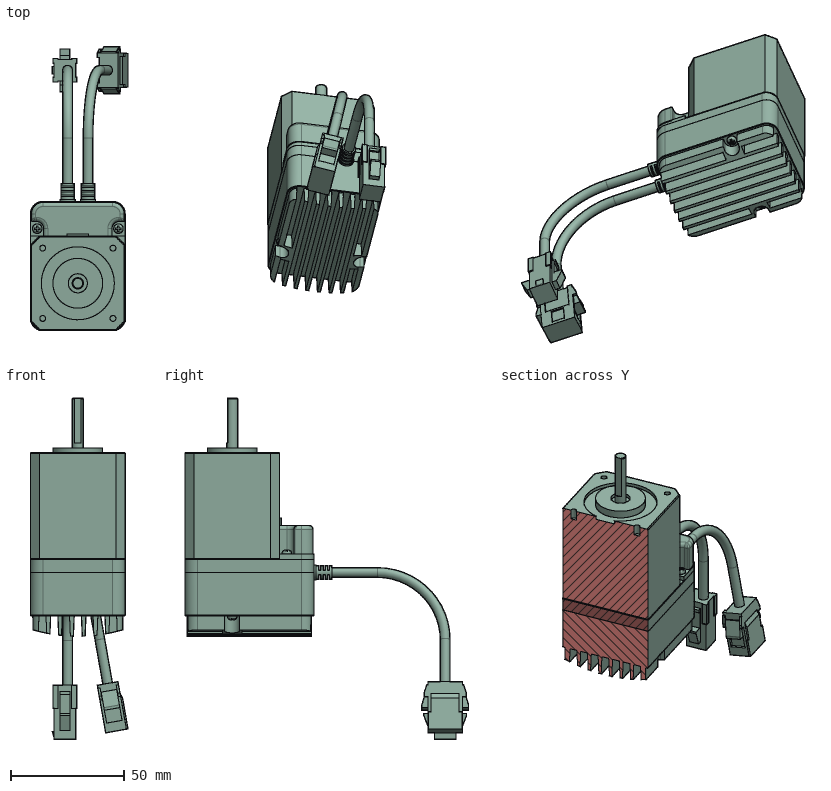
import cadquery as cq

MOTOR_WIDTH = 42.0
MOTOR_CORNER = 4.1
MOTOR_BOTTOM = 25.4
MOTOR_TOP = 72.3
TOP_EDGE = 0.5
PILOT_DIAMETER = 22.0
PILOT_HEIGHT = 2.0
RING_DIAMETER = 32.3
RING_DEPTH = 1.5
BORE_DIAMETER = 8.5
BORE_DEPTH = 1.5
MOUNT_SPACING = 31.1
MOUNT_HOLE = 2.5
MOUNT_DEPTH = 4.5

SHAFT_DIAMETER = 5.0
SHAFT_TOP = 96.3
SHAFT_CHAMFER = 0.3
FLAT_DEPTH = 0.5
FLAT_BOTTOM = 76.5

FRONT_Y = -MOTOR_WIDTH / 2
BACK_Y = 36.2
CASE_RADIUS = 5.6
SPLIT_Z = 19.2
LID_BOTTOM = 24.9
CASE_EDGE = 0.3

MOTOR_BACK_Y = MOTOR_WIDTH / 2
SHELF_Z = 27.3
BOX_TOP = 40.0
BOX_INSET = 0.5
BOX_ROUND = 1.8
NICHE_EDGE = 0.5
NICHE_RADIUS = 3.2
NICHE_X = 18.3
SCREW_Y = 24.2
TAB_WIDTH = 9.4
TAB_THICKNESS = 0.8
TAB_TOP = 43.3

SCREW_X = 18.0
SCREW_DIAMETER = 4.2
SCREW_HEIGHT = 1.8
SCREW_ROUND = 1.5
CROSS_LENGTH = 2.4
CROSS_WIDTH = 0.6
CROSS_DEPTH = 0.9

FIN_INSET = 1.0
FIN_COUNT = 8
FIN_PITCH = 5.21
FIN_ROOT = 2.1
FIN_TIP = 1.4
FIN_DEPTH_MIDDLE = 9.0
FIN_DEPTH_SIDE = 6.2
NOTCH_RADIUS = 3.3
BOSS_WIDTH = 8.8

CABLE_X = 4.5
CABLE_DIAMETER = 4.4
BEND_Y = 64.2
BEND_RADIUS = 30.0
CABLE_DROP = 19.8
SLEEVE_DIAMETER = 6.0
SLEEVE_LENGTH = 7.9
FLANGE_DIAMETER = 6.8
FLANGE_THICKNESS = 0.9
SLIT_COUNT = 3
SLIT_WIDTH = 0.8
SLIT_PITCH = 2.0
FIRST_SLIT = 2.1
SLIT_FLOOR = 1.0

SMALL_WIDTH = 9.7
SMALL_LENGTH = 24.0
SMALL_OFFSET = -1.2
SMALL_PAD = 0.5
SMALL_PAD_WIDTH = 2.3
SMALL_PAD_LENGTH = 10.3
SMALL_LATCH_WIDTH = 4.4
SMALL_LATCH = [(0, 2.9), (1.7, 2.9), (1.7, 4.2), (0.9, 4.2), (0.9, 12.5), (4.7, 12.5), (4.7, 13.5), (2.1, 20.1), (0, 20.1)]
NUB_WIDTH = 3.5
NUB_REACH = 0.8
NUB_TOP = 20.5
NUB_BOTTOM = 23.1

LARGE_TILT = 10.0
LARGE_WIDTH = 9.4
LARGE_DEPTH = 15.4
LARGE_LENGTH = 21.5
LARGE_RECESS = 0.9
LARGE_STEP = 12.1
LARGE_PAD_WIDTH = 2.1
WINDOW_WIDTH = 5.7
WINDOW_HEIGHT = 6.8
WINDOW_DEPTH = 0.6
WINDOW_TOP = 13.0
LARGE_LATCH_WIDTH = 7.0
LARGE_LATCH = [(0, 3.3), (0.6, 3.3), (2.7, 10.3), (2.7, 11.5), (0, 11.5)]
GUARD_WIDTH = 1.0
GUARD = [(0, 1.4), (0.5, 1.4), (1.7, 5.0), (1.7, 6.6), (0, 6.6)]
POCKET_TOP = 11.5
POCKET_BOTTOM = 17.2
POCKET_DEPTH = 1.2
HUMP_DEPTH = 12.4
HUMP_TOP = 5.3
HUMP_SHOULDER = 7.5
PANEL_DEPTH = 15.0
PANEL_TOP = 13.6
PANEL_THICKNESS = 0.8


def box(x0, x1, y0, y1, z0, z1):
    """Axis-aligned block between opposite corners."""
    return cq.Workplane("XY").box(x1 - x0, y1 - y0, z1 - z0, centered=False).translate((x0, y0, z0))


def case_block(bottom, top, inset=0.0):
    """Rounded rectangular block that follows the case outline."""
    half = MOTOR_WIDTH / 2 - inset
    block = box(-half, half, FRONT_Y + inset, BACK_Y - inset, bottom, top)
    return block.edges("|Z").fillet(CASE_RADIUS - inset)


def screw_head():
    """Domed head with a cross recess, standing up from Z = 0."""
    radius = SCREW_DIAMETER / 2
    head = cq.Workplane("XY").circle(radius).extrude(SCREW_HEIGHT).faces(">Z").edges().fillet(SCREW_ROUND)
    floor = SCREW_HEIGHT - CROSS_DEPTH
    half_length = CROSS_LENGTH / 2
    half_width = CROSS_WIDTH / 2
    head = head.cut(box(-half_length, half_length, -half_width, half_width, floor, SCREW_HEIGHT))
    return head.cut(box(-half_width, half_width, -half_length, half_length, floor, SCREW_HEIGHT))


def make_shaft():
    radius = SHAFT_DIAMETER / 2
    bottom = MOTOR_TOP + PILOT_HEIGHT - BORE_DEPTH
    shaft = cq.Workplane("XY").workplane(offset=bottom).circle(radius).extrude(SHAFT_TOP - bottom)
    shaft = shaft.faces(">Z").edges().chamfer(SHAFT_CHAMFER)
    return shaft.cut(box(-radius, radius, -radius, FLAT_DEPTH - radius, FLAT_BOTTOM, SHAFT_TOP))


def make_motor():
    height = MOTOR_TOP - MOTOR_BOTTOM
    motor = cq.Workplane("XY").workplane(offset=MOTOR_BOTTOM).rect(MOTOR_WIDTH, MOTOR_WIDTH).extrude(height)
    motor = motor.edges("|Z").chamfer(MOTOR_CORNER).faces(">Z").edges().chamfer(TOP_EDGE)

    face = cq.Workplane("XY").workplane(offset=MOTOR_TOP)
    ring = face.circle(RING_DIAMETER / 2).circle(PILOT_DIAMETER / 2).extrude(-RING_DEPTH)
    pilot = face.circle(PILOT_DIAMETER / 2).extrude(PILOT_HEIGHT)
    mounts = face.rect(MOUNT_SPACING, MOUNT_SPACING, forConstruction=True).vertices()
    mounts = mounts.circle(MOUNT_HOLE / 2).extrude(-MOUNT_DEPTH)
    motor = motor.cut(ring).union(pilot).cut(mounts)
    motor = motor.faces(">Z").workplane(origin=(0, 0, 0)).hole(BORE_DIAMETER, BORE_DEPTH)
    return motor.union(make_shaft())


def make_terminal_box():
    """Box behind the motor, with a quarter-round niche around each screw."""
    terminal = case_block(SHELF_Z, BOX_TOP, BOX_INSET)
    terminal = terminal.cut(box(-MOTOR_WIDTH, MOTOR_WIDTH, FRONT_Y, MOTOR_BACK_Y, SHELF_Z, BOX_TOP))
    wall_x = NICHE_X - NICHE_RADIUS
    for side in (-1, 1):
        niche = (
            cq.Workplane("XY")
            .workplane(offset=SHELF_Z)
            .moveTo(side * wall_x, MOTOR_BACK_Y)
            .lineTo(side * wall_x, SCREW_Y)
            .radiusArc((side * NICHE_X, SCREW_Y + NICHE_RADIUS), side * NICHE_RADIUS)
            .lineTo(side * MOTOR_WIDTH, SCREW_Y + NICHE_RADIUS)
            .lineTo(side * MOTOR_WIDTH, MOTOR_BACK_Y)
            .close()
            .extrude(BOX_TOP - SHELF_Z)
        )
        terminal = terminal.cut(niche)
    outer = MOTOR_WIDTH / 2 - BOX_INSET
    for side in (-1, 1):
        corner = cq.selectors.NearestToPointSelector((side * outer, SCREW_Y + NICHE_RADIUS, (SHELF_Z + BOX_TOP) / 2))
        terminal = terminal.edges(corner).fillet(NICHE_EDGE)
    return terminal.faces(">Z").edges("not <Y").fillet(BOX_ROUND)


def make_lid():
    """Plate under the motor, rising behind it to a shelf that carries the terminal box."""
    lid = case_block(LID_BOTTOM, SHELF_Z)
    lid = lid.cut(box(-MOTOR_WIDTH, MOTOR_WIDTH, FRONT_Y, MOTOR_BACK_Y, MOTOR_BOTTOM, SHELF_Z))
    lid = lid.union(make_terminal_box())
    tab_back = MOTOR_BACK_Y + TAB_THICKNESS
    lid = lid.union(box(-TAB_WIDTH / 2, TAB_WIDTH / 2, MOTOR_BACK_Y, tab_back, SHELF_Z, TAB_TOP))
    for side in (-1, 1):
        lid = lid.union(screw_head().translate((side * SCREW_X, SCREW_Y, SHELF_Z)))
    return lid


def make_frame():
    return case_block(SPLIT_Z, LID_BOTTOM)


def make_fins():
    """Row of tapered fins along Y whose tips follow one shallow arc."""
    half = MOTOR_WIDTH / 2 - FIN_INSET
    length = BACK_Y - FRONT_Y
    envelope = (
        cq.Workplane("XZ", origin=(0, FRONT_Y, 0))
        .moveTo(-half, 0)
        .lineTo(-half, -FIN_DEPTH_SIDE)
        .threePointArc((0, -FIN_DEPTH_MIDDLE), (half, -FIN_DEPTH_SIDE))
        .lineTo(half, 0)
        .close()
        .extrude(-length)
        .intersect(case_block(-FIN_DEPTH_MIDDLE, 0, FIN_INSET))
    )
    slots = cq.Workplane("XY")
    for i in range(FIN_COUNT - 1):
        middle = (i - FIN_COUNT / 2 + 1) * FIN_PITCH
        root = (FIN_PITCH - FIN_ROOT) / 2
        tip = (FIN_PITCH - FIN_TIP) / 2
        slot = (
            cq.Workplane("XZ", origin=(middle, FRONT_Y, 0))
            .polyline([(-root, 0), (root, 0), (tip, -FIN_DEPTH_MIDDLE), (-tip, -FIN_DEPTH_MIDDLE)])
            .close()
            .extrude(-length)
        )
        slots = slots.add(slot)
    fins = envelope
    for slot in slots.vals():
        fins = fins.cut(cq.Workplane(slot))

    boss_inner = half - FIN_PITCH - NOTCH_RADIUS / 2
    for side in (-1, 1):
        x0, x1 = sorted((side * boss_inner, side * half))
        boss = box(x0, x1, -BOSS_WIDTH / 2, BOSS_WIDTH / 2, -FIN_DEPTH_MIDDLE, 0)
        fins = fins.union(boss.intersect(envelope))
    return fins


def make_base():
    base = case_block(0, SPLIT_Z).faces("<Z").edges().chamfer(CASE_EDGE)
    base = base.union(make_fins())
    for side in (-1, 1):
        x0, x1 = sorted((side * SCREW_X, side * MOTOR_WIDTH))
        notch = cq.Workplane("XY").center(side * SCREW_X, 0).circle(NOTCH_RADIUS).extrude(-FIN_DEPTH_MIDDLE)
        notch = notch.union(box(x0, x1, -NOTCH_RADIUS, NOTCH_RADIUS, -FIN_DEPTH_MIDDLE, 0))
        head = screw_head().rotate((0, 0, 0), (1, 0, 0), 180).translate((side * SCREW_X, 0, 0))
        base = base.cut(notch).union(head)
    return base


def to_outlet(body, x):
    """Move a body from the axis of its cable outlet, on the split line, to its place in X."""
    return body.translate((x, 0, SPLIT_Z))


def swing(body, tilt):
    """Swing a hanging body about the straight run of its cable, towards +X."""
    return body.rotate((0, 0, 0), (0, 1, 0), -tilt)


def make_sleeve():
    """Flanged strain-relief sleeve around the cable where it leaves the case."""
    wall = cq.Workplane("XZ", origin=(0, BACK_Y, 0))
    sleeve = wall.circle(SLEEVE_DIAMETER / 2).extrude(-SLEEVE_LENGTH)
    return sleeve.union(wall.circle(FLANGE_DIAMETER / 2).extrude(-FLANGE_THICKNESS))


def cut_slits(cable):
    """Slit the sleeve from above and from below, leaving a flat web in the middle."""
    reach = FLANGE_DIAMETER / 2
    for i in range(SLIT_COUNT):
        start = BACK_Y + FIRST_SLIT + i * SLIT_PITCH
        end = start + SLIT_WIDTH
        cable = cable.cut(box(-reach, reach, start, end, SLIT_FLOOR, reach))
        cable = cable.cut(box(-reach, reach, start, end, -reach, -SLIT_FLOOR))
    return cable


def make_cable(x, tilt):
    """Cable that leaves the case along +Y, bends a quarter turn and hangs down to its plug."""
    hang_y = BEND_Y + BEND_RADIUS
    path = (
        cq.Workplane("YZ")
        .moveTo(BACK_Y, 0)
        .lineTo(BEND_Y, 0)
        .radiusArc((hang_y, -BEND_RADIUS), BEND_RADIUS)
        .lineTo(hang_y, -BEND_RADIUS - CABLE_DROP)
    )
    cord = cq.Workplane("XZ", origin=(0, BACK_Y, 0)).circle(CABLE_DIAMETER / 2).sweep(path)
    return to_outlet(cut_slits(swing(cord, tilt).union(make_sleeve())), x)


def hang_plug(plug, x, tilt):
    """Bring a plug, built with its top at the origin, to the end of its cable."""
    hung = plug.translate((0, BEND_Y + BEND_RADIUS, -BEND_RADIUS - CABLE_DROP))
    return to_outlet(swing(hung, tilt), x)


def side_pair(profile, face, x0, x1):
    """Extrude a (reach, depth) profile in X on both Y faces of a plug."""
    pair = cq.Workplane("YZ")
    for side in (-1, 1):
        outline = [(side * (face + reach), -depth) for reach, depth in profile]
        pair = pair.union(cq.Workplane("YZ", origin=(x0, 0, 0)).polyline(outline).close().extrude(x1 - x0))
    return pair


def make_small_plug():
    half = SMALL_WIDTH / 2
    plug = box(-half, half, -half, half, -SMALL_LENGTH, 0)

    outer = half + SMALL_PAD
    inner = outer - SMALL_PAD_WIDTH
    for side_x in (-1, 1):
        for side_y in (-1, 1):
            x0, x1 = sorted((side_x * inner, side_x * outer))
            y0, y1 = sorted((side_y * inner, side_y * outer))
            plug = plug.union(box(x0, x1, y0, y1, -SMALL_PAD_LENGTH, 0))

    plug = plug.union(side_pair(SMALL_LATCH, half, -SMALL_LATCH_WIDTH / 2, SMALL_LATCH_WIDTH / 2))

    nub_outline = [(-half, -NUB_TOP), (-half - NUB_REACH, -NUB_TOP), (-half, -NUB_BOTTOM)]
    nub = cq.Workplane("XZ").polyline(nub_outline).close().extrude(NUB_WIDTH / 2, both=True)
    plug = plug.union(nub).translate((SMALL_OFFSET, 0, 0))
    return hang_plug(plug, -CABLE_X, 0)


def make_large_plug():
    half_x = LARGE_WIDTH / 2
    half_y = LARGE_DEPTH / 2
    plug = box(-half_x, half_x, -half_y, half_y, -LARGE_LENGTH, 0)

    recess_y = half_y - LARGE_PAD_WIDTH
    recess_x = LARGE_RECESS - half_x
    plug = plug.cut(box(-half_x, recess_x, -recess_y, recess_y, -LARGE_STEP, 0))
    window_bottom = -WINDOW_TOP - WINDOW_HEIGHT
    window_x = WINDOW_DEPTH - half_x
    half_window = WINDOW_WIDTH / 2
    plug = plug.cut(box(-half_x, window_x, -half_window, half_window, window_bottom, -WINDOW_TOP))

    half_latch = LARGE_LATCH_WIDTH / 2
    pocket = [(-POCKET_DEPTH, POCKET_TOP), (0, POCKET_TOP), (0, POCKET_BOTTOM), (-POCKET_DEPTH, POCKET_BOTTOM)]
    plug = plug.cut(side_pair(pocket, half_y, -half_latch, half_latch))
    plug = plug.union(side_pair(LARGE_LATCH, half_y, -half_latch, half_latch))
    plug = plug.union(side_pair(GUARD, half_y, -half_x, GUARD_WIDTH - half_x))
    plug = plug.union(side_pair(GUARD, half_y, half_x - GUARD_WIDTH, half_x))

    panel_x = half_x + PANEL_THICKNESS
    half_panel = PANEL_DEPTH / 2
    plug = plug.union(box(half_x, panel_x, -half_panel, half_panel, -LARGE_LENGTH, -PANEL_TOP))
    hump_outline = [(half_x, -HUMP_TOP), (panel_x, -HUMP_SHOULDER), (panel_x, -PANEL_TOP), (half_x, -PANEL_TOP)]
    hump = cq.Workplane("XZ").polyline(hump_outline).close().extrude(HUMP_DEPTH / 2, both=True)
    return hang_plug(plug.union(hump), CABLE_X, LARGE_TILT)


motor = make_motor()
lid = make_lid()
frame = make_frame()
base = make_base()
cables = [make_cable(x, tilt) for x, tilt in ((-CABLE_X, 0), (CABLE_X, LARGE_TILT))]
small_plug = make_small_plug()
large_plug = make_large_plug()

result = cq.Compound.makeCompound(
    [
        motor.val(),
        lid.val(),
        frame.val(),
        base.val(),
        *[cable.val() for cable in cables],
        small_plug.val(),
        large_plug.val(),
    ]
)